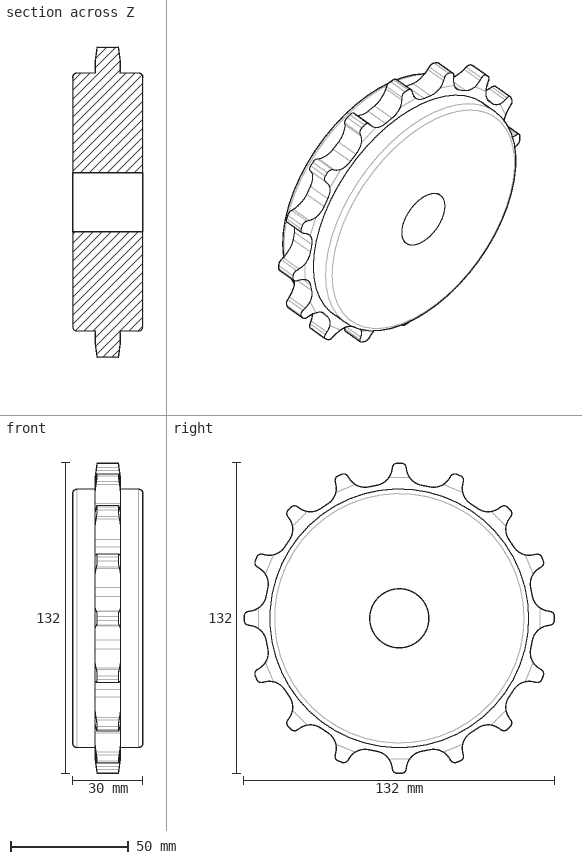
import cadquery as cq
import math

hub_width = 30.0
hub_radius = 55.1
hub_rim_fillet = 2.0
bore_diameter = 25.1

tooth_count = 16
outer_radius = 66.0
disc_thickness = 10.8

root_distance = 57.5
root_flat_length = 3.8
seat_radius = 7.8
flank_angle = 10.0

tip_corner_radius = 2.1

relief_start_radius = 59.8
tip_thickness = 9.1

tooth_spacing = 360 / tooth_count
half_pitch = tooth_spacing / 2


def profile_plane(width):
    """YZ plane placed so that an extrusion of this width is centred on X = 0."""
    return cq.Workplane("YZ", origin=(-width / 2, 0, 0))


def make_hub():
    hub = profile_plane(hub_width).circle(hub_radius).extrude(hub_width)
    return hub.edges().fillet(hub_rim_fillet)


def make_tooth_blank():
    """One sector of the disc, up to the crest of the tooth pointing along +Z."""
    half_sector_width = outer_radius * math.tan(math.radians(half_pitch))
    return (
        profile_plane(disc_thickness)
        .polyline([(0, 0), (half_sector_width, outer_radius), (-half_sector_width, outer_radius)])
        .close()
        .extrude(disc_thickness)
    )


def make_gap_cutter():
    """The space between two teeth, with its root flat facing +Z."""
    half_flat = root_flat_length / 2
    seat_centre = root_distance + seat_radius
    beyond_crest = outer_radius + seat_radius

    flank_lean = math.radians(flank_angle + half_pitch)
    seat_sweep = math.radians(90) - flank_lean

    def seat_point(sweep):
        y = half_flat + seat_radius * math.sin(sweep)
        z = seat_centre - seat_radius * math.cos(sweep)
        return y, z

    mid_y, mid_z = seat_point(seat_sweep / 2)
    end_y, end_z = seat_point(seat_sweep)
    top_y = end_y + (beyond_crest - end_z) * math.tan(flank_lean)
    return (
        profile_plane(disc_thickness)
        .moveTo(-half_flat, root_distance)
        .lineTo(half_flat, root_distance)
        .threePointArc((mid_y, mid_z), (end_y, end_z))
        .lineTo(top_y, beyond_crest)
        .lineTo(-top_y, beyond_crest)
        .lineTo(-end_y, end_z)
        .threePointArc((-mid_y, mid_z), (-half_flat, root_distance))
        .close()
        .extrude(disc_thickness)
    )


def make_relief_cutter():
    """Wedge beside the tooth that tilts its +X face in towards the crest."""
    wedge_length = outer_radius
    return (
        cq.Workplane("XZ", origin=(0, wedge_length / 2, 0))
        .polyline([
            (disc_thickness / 2, relief_start_radius),
            (tip_thickness / 2, outer_radius),
            (disc_thickness / 2, outer_radius),
        ])
        .close()
        .extrude(wedge_length)
    )


def make_tooth():
    """One tooth along +Z with its share of the disc beneath it."""
    tooth = make_tooth_blank()
    gap = make_gap_cutter()
    for side in (-1, 1):
        tooth = tooth.cut(gap.rotate((0, 0, 0), (1, 0, 0), side * half_pitch))
    tooth = tooth.faces(">Z").edges("|X").fillet(tip_corner_radius)
    relief = make_relief_cutter()
    return tooth.cut(relief).cut(relief.mirror("YZ"))


def make_bore():
    return profile_plane(hub_width).circle(bore_diameter / 2).extrude(hub_width)


sprocket = make_hub()
tooth = make_tooth()
for index in range(tooth_count):
    sprocket = sprocket.union(tooth.rotate((0, 0, 0), (1, 0, 0), index * tooth_spacing))

result = sprocket.cut(make_bore())